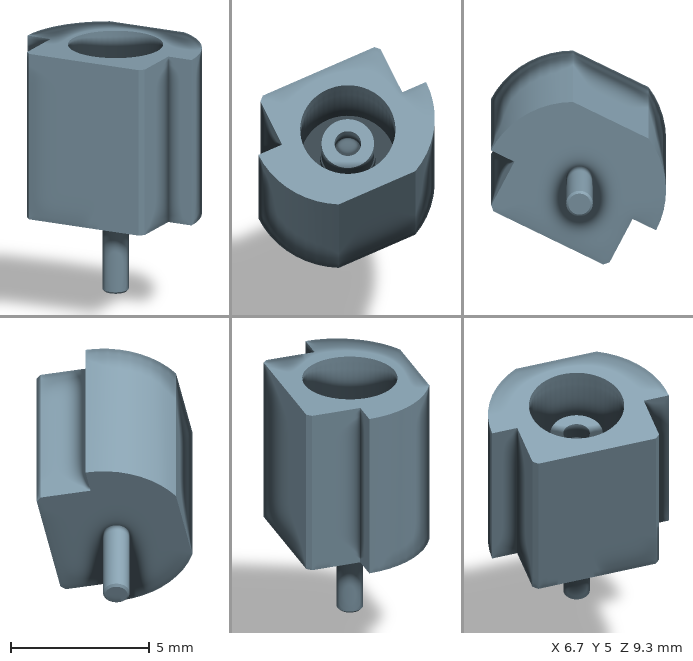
import cadquery as cq

body_height = 6.25
body_front_y = -2.5
body_back_y = 2.5
shoulder_y = -0.48
back_radius = 3.35
front_width = 4.8
corner_chamfer = 0.17

socket_diameter = 3.45
socket_depth = 3.0
insulator_diameter = 1.9
insulator_recess = 1.38
insulator_foot_diameter = 2.0
insulator_foot_height = 0.5

pin_diameter = 0.96
pin_tip_chamfer = 0.08
pin_top_chamfer = 0.05
pin_projection = 3.05
pin_recess = 0.6

socket_floor_z = body_height - socket_depth
insulator_top_z = body_height - insulator_recess
pin_top_z = insulator_top_z - pin_recess


def cylinder(diameter, bottom_z, top_z):
    """Vertical cylinder on the socket axis."""
    return cq.Workplane("XY").workplane(offset=bottom_z).circle(diameter / 2).extrude(top_z - bottom_z)


def make_housing():
    """Solid housing with its two front vertical edges chamfered."""
    back = (
        cq.Workplane("XY")
        .moveTo(-back_radius, shoulder_y)
        .threePointArc((0, shoulder_y + back_radius), (back_radius, shoulder_y))
        .close()
        .extrude(body_height)
    )
    body_depth = body_back_y - body_front_y
    envelope = cq.Workplane("XY").box(2 * back_radius, body_depth, body_height, centered=(True, False, False))
    back = back.intersect(envelope.translate((0, body_front_y, 0)))

    front_depth = shoulder_y - body_front_y
    front = (
        cq.Workplane("XY")
        .box(front_width, front_depth, body_height, centered=(True, False, False))
        .translate((0, body_front_y, 0))
        .edges("|Z and <Y")
        .chamfer(corner_chamfer)
    )
    return back.union(front)


def make_insulator():
    """Round post with a slightly wider foot on the socket floor."""
    post = cylinder(insulator_diameter, socket_floor_z, insulator_top_z)
    foot_top_z = socket_floor_z + insulator_foot_height
    return post.union(cylinder(insulator_foot_diameter, socket_floor_z, foot_top_z))


def make_pin():
    """Contact pin chamfered at both ends."""
    pin = cylinder(pin_diameter, -pin_projection, pin_top_z)
    pin = pin.faces("<Z").chamfer(pin_tip_chamfer)
    return pin.faces(">Z").chamfer(pin_top_chamfer)


socket = cylinder(socket_diameter, socket_floor_z, body_height)
contact_bore = cylinder(pin_diameter, 0, insulator_top_z)

result = make_housing().cut(socket).union(make_insulator()).cut(contact_bore).union(make_pin())